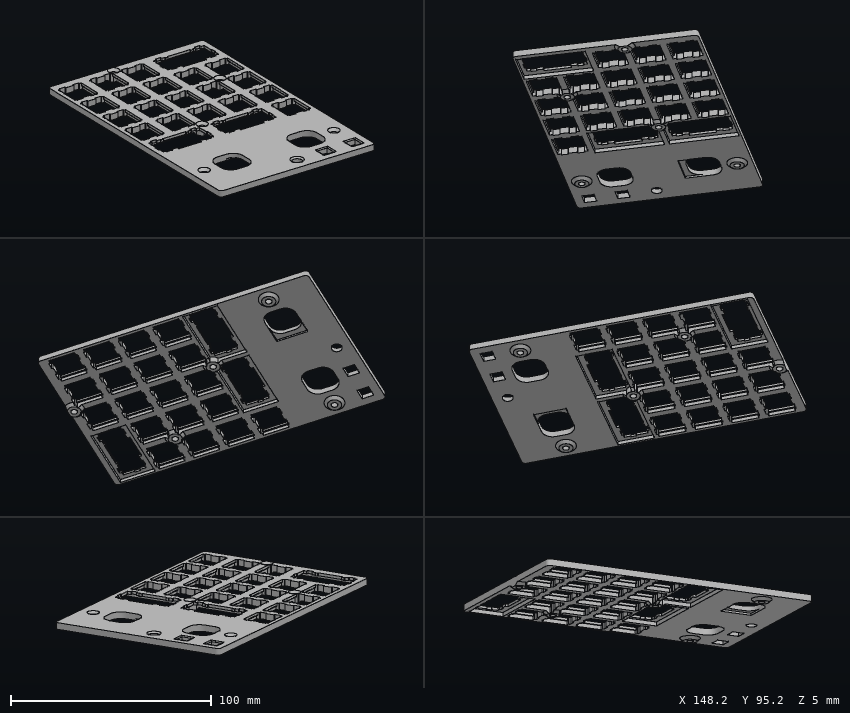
import cadquery as cq

plate_length = 148.2
plate_width = 95.2
plate_thickness = 3.5
plate_corner_radius = 2.1

row_count = 5
pitch = plate_width / row_count
first_column_inset = 12.6

switch_size = 14.0
clip_span = 15.5
clip_notch_height = 3.5
clip_notch_inset = 1.0

lip_thickness = 1.5
latch_recess = 0.7
two_row_pocket_length = 35.6
two_row_pocket_width = pitch

stabilizer_left = 6.8
stabilizer_right = 5.5
stabilizer_inner_end = 8.5
stabilizer_outer_end = 15.4
channel_left = 6.2
tab_left = 8.0
tab_right = 6.2
tab_width = 3.1
tab_offset = 12.0
end_nub_width = 2.8
end_nub_offset = 0.7
end_nub_depth = 0.6

boss_height = 1.5
boss_tip_radius = 3.5
boss_root_radius = 5.2
screw_radius = 1.6
countersink_radius = 3.1

panel_column_x = 49.2
side_column_x = 66.1
panel_screw_y = 39.7
knob_y = 22.7
knob_opening_size = 16.9
knob_corner_radius = 5.8
knob_lip_thickness = 2.5
knob_pocket_reach = 3
square_opening_size = 6.2
square_chamfer = 0.6
jack_y = 5.2
jack_radius = 2.7
jack_chamfer = 0.9

column_0_x = first_column_inset - plate_length / 2
row_0_y = (plate_width - pitch) / 2
cut_bottom = -2 * boss_height
cut_height = plate_thickness - 2 * cut_bottom
under_lip_height = plate_thickness - lip_thickness - cut_bottom


def key_centre(column, row):
    """Centre of a grid cell; half steps give the points between cells."""
    return column_0_x + column * pitch, row_0_y - row * pitch


def block(left, right, front, back, height=cut_height):
    """Cutting block that starts below the bosses; by default it also clears the top face."""
    solid = cq.Workplane("XY").box(right - left, back - front, height, centered=False)
    return solid.translate((left, front, cut_bottom))


def centred_block(width, length, height=cut_height):
    return block(-width / 2, width / 2, -length / 2, length / 2, height)


def switch_window():
    window = centred_block(switch_size, switch_size)
    notches = centred_block(clip_span, clip_notch_height)
    notch_y = switch_size / 2 - clip_notch_inset - clip_notch_height / 2
    for side in (-1, 1):
        window = window.union(notches.translate((0, side * notch_y, 0)))
    recess = centred_block(switch_size, switch_size + 2 * latch_recess, under_lip_height)
    return window.union(recess)


def two_row_window():
    window = centred_block(switch_size, switch_size)
    window = window.union(
        block(-channel_left, stabilizer_right, -stabilizer_inner_end, stabilizer_inner_end)
    )
    pocket = block(-stabilizer_left, stabilizer_right, stabilizer_inner_end, stabilizer_outer_end)
    tabs = block(-tab_left, tab_right, tab_offset - tab_width / 2, tab_offset + tab_width / 2)
    end_nub = block(
        end_nub_offset - end_nub_width / 2,
        end_nub_offset + end_nub_width / 2,
        stabilizer_outer_end - end_nub_depth,
        stabilizer_outer_end + end_nub_depth,
    )
    end = pocket.union(tabs).union(end_nub)
    return window.union(end).union(end.mirror("XZ"))


def two_row_pocket():
    """Clearance below the lip of a two-row opening."""
    return centred_block(two_row_pocket_width, two_row_pocket_length, under_lip_height)


def screw_post():
    """Round core of a screw boss, which stands where a pocket cuts into the boss."""
    post_height = boss_height + plate_thickness - lip_thickness
    return cq.Workplane("XY", origin=(0, 0, -boss_height)).circle(boss_tip_radius).extrude(post_height)


def knob_opening():
    return centred_block(knob_opening_size, knob_opening_size).edges("|Z").fillet(knob_corner_radius)


def knob_pocket():
    """Clearance below the lip on the +Y side of a knob opening."""
    half_size = knob_opening_size / 2
    height = plate_thickness - knob_lip_thickness - cut_bottom
    return block(-half_size, half_size, 0, half_size + knob_pocket_reach, height)


def square_opening():
    """Square through opening with a chamfered top rim."""
    opening = centred_block(square_opening_size, square_opening_size)
    rim_size = square_opening_size + 2 * square_chamfer
    rim = (
        cq.Workplane("XY", origin=(0, 0, plate_thickness - square_chamfer))
        .rect(square_opening_size, square_opening_size)
        .workplane(offset=square_chamfer)
        .rect(rim_size, rim_size)
        .loft(ruled=True)
    )
    return opening.union(rim)


def flared_hole(radius, top_radius):
    """Round through hole that opens at 45 degrees to the top face."""
    flare = top_radius - radius
    profile = [
        (0, cut_bottom),
        (radius, cut_bottom),
        (radius, plate_thickness - flare),
        (top_radius, plate_thickness),
        (0, plate_thickness),
    ]
    return cq.Workplane("XZ").polyline(profile).close().revolve(360, (0, 0), (0, 1))


def boss():
    """Tapered boss below the plate, narrowest at its lower end."""
    profile = [(0, -boss_height), (boss_tip_radius, -boss_height), (boss_root_radius, 0), (0, 0)]
    return cq.Workplane("XZ").polyline(profile).close().revolve(360, (0, 0), (0, 1))


def union_at(body, addition, points):
    for x, y in points:
        body = body.union(addition.translate((x, y, 0)))
    return body


def cut_at(body, opening, points):
    for x, y in points:
        body = body.cut(opening.translate((x, y, 0)))
    return body


single_keys = [(0, row) for row in (2, 3, 4)]
single_keys += [(column, row) for column in (1, 2, 3) for row in range(row_count)]
single_keys += [(4, 0)]
two_row_keys = [(0, 0.5), (4, 1.5), (4, 3.5)]
grid_screws = [(-0.5, 2.5), (1.5, 0.5), (3.5, 2.5)]

single_points = [key_centre(*cell) for cell in single_keys]
two_row_points = [key_centre(*cell) for cell in two_row_keys]
screw_points = [key_centre(*cell) for cell in grid_screws]
screw_points += [(panel_column_x, side * panel_screw_y) for side in (-1, 1)]
knob_points = [(panel_column_x, knob_y), (panel_column_x, -knob_y)]
square_points = [(side_column_x, panel_screw_y), (side_column_x, knob_y)]

plate = (
    cq.Workplane("XY")
    .rect(plate_length, plate_width)
    .extrude(plate_thickness)
    .edges("|Z")
    .fillet(plate_corner_radius)
)

plate = union_at(plate, boss(), screw_points)
plate = cut_at(plate, two_row_pocket(), two_row_points)
plate = union_at(plate, screw_post(), screw_points)

plate = plate.intersect(centred_block(plate_length, plate_width))

plate = cut_at(plate, switch_window(), single_points)
plate = cut_at(plate, two_row_window(), two_row_points)
plate = cut_at(plate, flared_hole(screw_radius, countersink_radius), screw_points)
plate = cut_at(plate, knob_opening(), knob_points)
plate = cut_at(plate, knob_pocket(), [(panel_column_x, -knob_y)])
plate = cut_at(plate, square_opening(), square_points)
plate = cut_at(plate, flared_hole(jack_radius, jack_radius + jack_chamfer), [(side_column_x, jack_y)])

result = plate